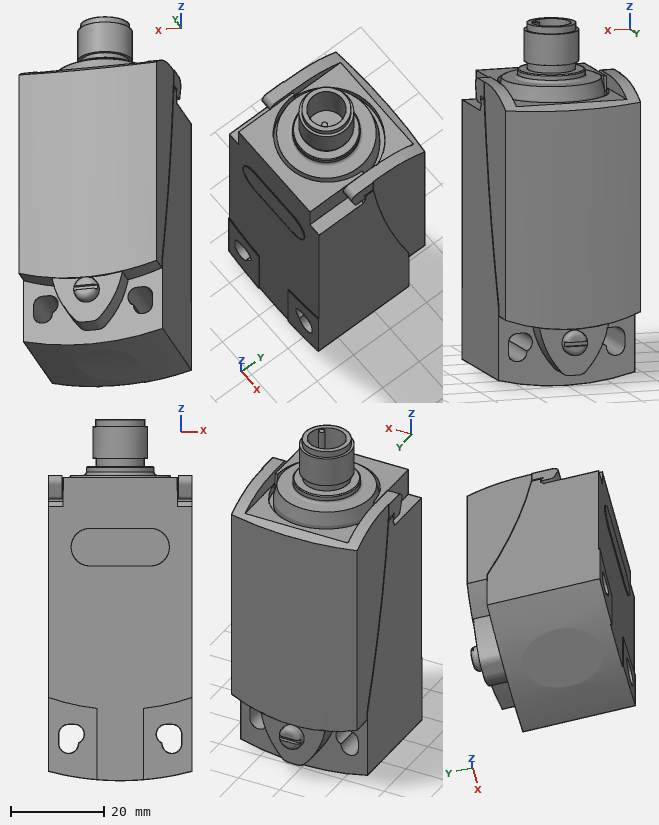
import cadquery as cq
import math


total_height = 77.35
half_width = 15.4
front_wall_y = 0.2
housing_rear_y = 24.9
housing_top_z = 65.0
bottom_sag = 2.0
bottom_hollow = 0.4
hollow_front_y = 3.1
hollow_rear_y = 20.9

parting_top = (15.1, 61.9)
parting_middle = (19.35, 37.75)
parting_bottom = (housing_rear_y, 18.0)

shoulder_x = 12.2
shoulder_z = 58.7
ledge_front_y = 13.1
ledge_bend_z = 59.9
ledge_z = 61.4
ledge_root_y = 12.4
catch_z = 60.35

pad_inner_x = 5.0
pad_top_z = 17.9
pad_top_sag = 2.6
label_length = 21.05
label_height = 8.05
label_z = 50.05
mount_diameter = 4.2
mount_inner_x = 9.8
mount_outer_x = 11.1
mount_low_z = 8.0
mount_high_z = 10.0

cover_half_width = 15.25
cover_rear_y = 30.4
cover_rear_sag = 1.0
cover_top_z = 65.45
cover_arc_start = (17.0, 65.4)
cover_arc_middle = (24.4, 64.1)
cover_rear_top_z = 61.1
cover_bottom_z = 13.3
cover_bottom_sag = 2.7
cover_floor_z = 62.35
arm_inner_x = 12.45
hook_tip_y = 9.2
hook_nose_radius = 1.55
hook_nose_end = (9.3, 63.3)
hook_heel_start = (10.05, 60.95)
hook_heel_middle = (10.3, 60.6)
hook_heel_end_y = 10.75
hook_slot_y = 12.6
hook_under_z = 61.9
tab_rear_y = 29.9
tab_root_z = 15.5
tab_shoulder = (7.7, 13.7)
tab_flank_middle = (5.95, 8.5)
tab_flank_end = (2.8, 3.95)
tab_corner_middle = (2.1, 3.4)
tab_bottom = (1.1, 3.2)

screw_z = 10.4
screw_head_radius = 2.7
screw_head_end_y = 32.0
screw_head_fillet = 1.15
screw_slot_width = 0.9
screw_slot_depth = 0.8
screw_shank_radius = 1.55
screw_shank_start_y = 20.1

axis_y = 14.55
pocket_floor_z = 60.7
disc_top_radius = 10.7
disc_base_radius = 11.45
pocket_axis_y = 14.85
housing_pocket_radius = 11.6
housing_pocket_floor_radius = 11.9
cover_pocket_radius = 12.3
flange_radius = 7.3
flange_bottom_z = 66.15
flange_top_z = 67.3
flange_chamfer = 0.2
neck_radius = 5.2
neck_top_z = 69.1
thread_radius = 5.9
thread_top_z = 75.9
tip_radius = 5.25
bore_radius = 4.2
bore_floor_z = 68.1
key_radius = 0.6
key_offset = 3.55
key_angle = -45.0
key_top_z = 77.05


def block(x0, x1, y0, y1, z0, z1):
    """Axis-aligned box between two opposite corners."""
    return cq.Workplane("XY").box(x1 - x0, y1 - y0, z1 - z0, centered=False).translate((x0, y0, z0))


def along_y(sketch_on_plane, y0, y1):
    """Extrude an outline drawn on the XZ plane from y0 to y1."""
    return sketch_on_plane.extrude(-(y1 - y0)).translate((0, y0, 0))


def along_x(sketch_on_plane, x0, x1):
    """Extrude an outline drawn on the YZ plane from x0 to x1."""
    return sketch_on_plane.extrude(x1 - x0).translate((x0, 0, 0))


def bow_bottomed_outline(half, center_z, sag, top_z):
    """Rectangle in XZ whose lower side bows down by the sag at the centre."""
    return (
        cq.Workplane("XZ")
        .moveTo(-half, top_z)
        .lineTo(-half, center_z + sag)
        .threePointArc((0, center_z), (half, center_z + sag))
        .lineTo(half, top_z)
        .close()
    )


def turned(outline, center_y):
    """Revolve a half outline in XZ about the upright axis at center_y."""
    return outline.revolve(360, (0, 0, 0), (0, 1, 0)).translate((0, center_y, 0))


def upright_cylinder(radius, z0, z1, center_y):
    """Cylinder on the upright axis at center_y."""
    return cq.Workplane("XY").circle(radius).extrude(z1 - z0).translate((0, center_y, z0))


def rear_cylinder(radius, y0, y1):
    """Cylinder on the screw axis."""
    return along_y(cq.Workplane("XZ").center(0, screw_z).circle(radius), y0, y1)


def front_pads():
    """Two raised pads with curved tops at the lower front corners."""
    bow = bow_bottomed_outline(half_width, 0, bottom_sag, total_height)
    pads = along_y(bow, 0, front_wall_y)
    above = bow_bottomed_outline(half_width, pad_top_z - pad_top_sag, pad_top_sag, total_height)
    pads = pads.cut(along_y(above, 0, front_wall_y))
    return pads.cut(block(-pad_inner_x, pad_inner_x, 0, front_wall_y, 0, total_height))


def mounting_holes():
    """L-shaped through slots, mirrored left and right."""
    holes = None
    for side in (-1, 1):
        upright = (
            cq.Workplane("XZ")
            .center(side * mount_outer_x, (mount_low_z + mount_high_z) / 2)
            .slot2D(mount_high_z - mount_low_z + mount_diameter, mount_diameter, 90)
        )
        level = (
            cq.Workplane("XZ")
            .center(side * (mount_inner_x + mount_outer_x) / 2, mount_high_z)
            .slot2D(mount_outer_x - mount_inner_x + mount_diameter, mount_diameter)
        )
        pair = along_y(upright, 0, housing_rear_y).union(along_y(level, 0, housing_rear_y))
        holes = pair if holes is None else holes.union(pair)
    return holes


def make_housing():
    side_profile = (
        cq.Workplane("YZ")
        .moveTo(front_wall_y, 0)
        .lineTo(front_wall_y, housing_top_z)
        .lineTo(parting_top[0], housing_top_z)
        .lineTo(*parting_top)
        .threePointArc(parting_middle, parting_bottom)
        .lineTo(housing_rear_y, 0)
        .close()
    )
    body = along_x(side_profile, -half_width, half_width)
    front_outline = bow_bottomed_outline(half_width, 0, bottom_sag, housing_top_z)
    body = body.intersect(along_y(front_outline, 0, housing_rear_y))

    body = body.union(front_pads())
    label = cq.Workplane("XZ").center(0, label_z).slot2D(label_length, label_height)
    body = body.union(along_y(label, 0, front_wall_y))

    shoulder = (
        cq.Workplane("YZ")
        .moveTo(0, shoulder_z)
        .lineTo(ledge_root_y, shoulder_z)
        .lineTo(ledge_front_y, ledge_bend_z)
        .lineTo(ledge_front_y, ledge_z)
        .lineTo(housing_rear_y, ledge_z)
        .lineTo(housing_rear_y, total_height)
        .lineTo(0, total_height)
        .close()
    )
    between = block(-shoulder_x, shoulder_x, 0, housing_rear_y, 0, total_height)
    body = body.cut(along_x(shoulder, -half_width, half_width).cut(between))

    pocket_outline = cq.Workplane("XZ").polyline([
        (0, pocket_floor_z),
        (housing_pocket_floor_radius, pocket_floor_z),
        (housing_pocket_radius, housing_top_z),
        (0, housing_top_z),
    ]).close()
    body = body.cut(turned(pocket_outline, pocket_axis_y))

    arch = (
        cq.Workplane("YZ")
        .moveTo(hollow_front_y, 0)
        .threePointArc(((hollow_front_y + hollow_rear_y) / 2, bottom_hollow), (hollow_rear_y, 0))
        .close()
    )
    body = body.cut(along_x(arch, -half_width, half_width))

    body = body.cut(mounting_holes())
    return body.cut(rear_cylinder(screw_shank_radius, screw_shank_start_y, housing_rear_y))


def make_hook(x0, x1):
    """Arm tip that reaches forward over the ledge and drops in front of it."""
    nose_top_y = hook_tip_y + hook_nose_radius
    nose_bend = hook_nose_radius * (1 - math.sqrt(0.5))
    profile = (
        cq.Workplane("YZ")
        .moveTo(parting_top[0], hook_under_z)
        .lineTo(hook_slot_y, hook_under_z)
        .lineTo(ledge_front_y, catch_z)
        .lineTo(hook_heel_end_y, catch_z)
        .threePointArc(hook_heel_middle, hook_heel_start)
        .lineTo(*hook_nose_end)
        .threePointArc((hook_tip_y + nose_bend, cover_top_z - nose_bend), (nose_top_y, cover_top_z))
        .lineTo(parting_top[0], cover_top_z)
        .close()
    )
    return along_x(profile, x0, x1)


def make_tab():
    """Tongue below the cover that carries the screw."""
    half_outline = (
        cq.Workplane("XZ")
        .moveTo(0, tab_root_z)
        .lineTo(tab_shoulder[0], tab_root_z)
        .lineTo(*tab_shoulder)
        .threePointArc(tab_flank_middle, tab_flank_end)
        .threePointArc(tab_corner_middle, tab_bottom)
        .lineTo(0, tab_bottom[1])
        .close()
    )
    half_tab = along_y(half_outline, housing_rear_y, tab_rear_y)
    return half_tab.union(half_tab.mirror("YZ"))


def make_cover():
    side_profile = (
        cq.Workplane("YZ")
        .moveTo(parting_top[0], cover_top_z)
        .lineTo(*cover_arc_start)
        .threePointArc(cover_arc_middle, (cover_rear_y, cover_rear_top_z))
        .lineTo(cover_rear_y, cover_bottom_z)
        .lineTo(housing_rear_y, cover_bottom_z)
        .lineTo(*parting_bottom)
        .threePointArc(parting_middle, parting_top)
        .close()
    )
    body = along_x(side_profile, -cover_half_width, cover_half_width)
    front_outline = bow_bottomed_outline(cover_half_width, cover_bottom_z, cover_bottom_sag, cover_top_z)
    body = body.intersect(along_y(front_outline, 0, cover_rear_y))

    corner_y = cover_rear_y - cover_rear_sag
    plan = (
        cq.Workplane("XY")
        .moveTo(-cover_half_width, 0)
        .lineTo(-cover_half_width, corner_y)
        .threePointArc((0, cover_rear_y), (cover_half_width, corner_y))
        .lineTo(cover_half_width, 0)
        .close()
    )
    body = body.intersect(plan.extrude(total_height))

    body = body.cut(block(-arm_inner_x, arm_inner_x, 0, cover_rear_y, cover_floor_z, total_height))
    body = body.cut(upright_cylinder(cover_pocket_radius, pocket_floor_z, cover_top_z, pocket_axis_y))

    body = body.union(make_tab())
    body = body.union(make_hook(arm_inner_x, half_width))
    body = body.union(make_hook(-half_width, -arm_inner_x))
    return body.cut(rear_cylinder(screw_shank_radius, housing_rear_y, tab_rear_y))


def make_screw():
    head = rear_cylinder(screw_head_radius, tab_rear_y, screw_head_end_y)
    head = head.faces(">Y").edges().fillet(screw_head_fillet)
    slot = block(
        -screw_head_radius, screw_head_radius,
        screw_head_end_y - screw_slot_depth, screw_head_end_y,
        screw_z - screw_slot_width / 2, screw_z + screw_slot_width / 2,
    )
    return head.cut(slot).union(rear_cylinder(screw_shank_radius, screw_shank_start_y, tab_rear_y))


def make_base_disc():
    """Tapered disc with a concave flare rising to the connector flange."""
    flare = flange_bottom_z - cover_top_z
    bend = flare * (1 - math.sqrt(0.5))
    outline = (
        cq.Workplane("XZ")
        .moveTo(0, pocket_floor_z)
        .lineTo(disc_base_radius, pocket_floor_z)
        .lineTo(disc_base_radius, cover_floor_z)
        .lineTo(disc_top_radius, cover_top_z)
        .lineTo(flange_radius + flare, cover_top_z)
        .threePointArc((flange_radius + bend, cover_top_z + bend), (flange_radius, flange_bottom_z))
        .lineTo(0, flange_bottom_z)
        .close()
    )
    return turned(outline, axis_y)


def make_connector():
    outline = cq.Workplane("XZ").polyline([
        (0, flange_bottom_z),
        (flange_radius, flange_bottom_z),
        (flange_radius, flange_top_z - flange_chamfer),
        (flange_radius - flange_chamfer, flange_top_z),
        (neck_radius, flange_top_z),
        (neck_radius, neck_top_z),
        (thread_radius, neck_top_z),
        (thread_radius, thread_top_z),
        (tip_radius, thread_top_z),
        (tip_radius, total_height),
        (0, total_height),
    ]).close()
    shell = turned(outline, axis_y)
    shell = shell.cut(upright_cylinder(bore_radius, bore_floor_z, total_height, axis_y))

    key_length = bore_radius - key_offset + key_radius
    rib = upright_cylinder(key_radius, bore_floor_z, key_top_z, axis_y).translate((key_offset, 0, 0))
    web = block(
        key_offset, key_offset + key_length,
        axis_y - key_radius, axis_y + key_radius,
        bore_floor_z, key_top_z,
    )
    key = rib.union(web).rotate((0, axis_y, 0), (0, axis_y, 1), key_angle)
    return shell.union(key)


housing = make_housing()
cover = make_cover()
screw = make_screw()
base_disc = make_base_disc()
connector = make_connector()

result = cq.Compound.makeCompound([
    housing.val(),
    cover.val(),
    screw.val(),
    base_disc.val(),
    connector.val(),
])